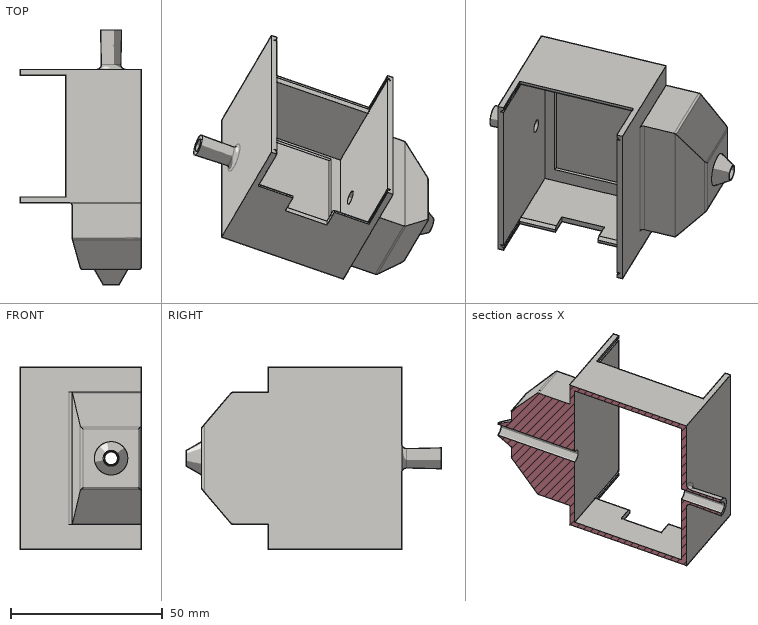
import cadquery as cq
import math

box_length = 40.0
box_width = 44.0
box_height = 60.0
wall = 2.0

seat_depth = 15.0
dovetail_flare = 1.0
straight_lip = wall - dovetail_flare

notch_width = 15.0
notch_depth = 6.0
notch_center_y = box_width / 2

recess_width = 33.4
recess_height = 50.2
recess_depth = 0.5
recess_center_y = box_width / 2
recess_center_z = 31.8

nose_start_x = 17.2
nose_height = 43.6
nose_straight = 12.0
nose_length = 22.0
nose_face_start_x = 20.0
nose_face_height = 20.0
nose_edge_radius = 1.0
nose_root_radius = 1.1
fold_margin = 0.1

axis_x = 30.0
axis_z = box_height / 2
cone_bore_diameter = 4.5
spigot_bore_diameter = 4.2
cone_length = 5.0
cone_base_diameter = 11.0
cone_tip_diameter = cone_base_diameter - 2 * cone_length * math.tan(math.radians(30))
spigot_length = 13.0
spigot_root_diameter = 6.5
spigot_tip_diameter = 7.0
spigot_root_radius = 1.5


def block(x_range, y_range, z_range):
    """Axis-aligned block between the given limits."""
    size = [high - low for low, high in (x_range, y_range, z_range)]
    corner = (x_range[0], y_range[0], z_range[0])
    return cq.Workplane("XY").box(*size, centered=False).translate(corner)


def make_box():
    """Hollow box without a wall on the -X side."""
    outer = block((0, box_length), (0, box_width), (0, box_height))
    cavity = block((0, box_length - wall), (wall, box_width - wall), (wall, box_height - wall))
    return outer.cut(cavity)


def dovetail_seat():
    """Cover seat in the top plate, flaring towards the cavity along three edges.

    The flared part is centred on X = 0, so half of it lies outside the box.
    """
    opening_width = box_width - 2 * wall
    straight = block((0, seat_depth), (wall, box_width - wall), (box_height - straight_lip, box_height))
    flare_bottom = box_height - wall
    flare_length = seat_depth + dovetail_flare
    flare = (
        cq.Workplane("XY", origin=(0, box_width / 2, flare_bottom))
        .rect(2 * flare_length, opening_width + 2 * dovetail_flare)
        .workplane(offset=dovetail_flare)
        .rect(2 * seat_depth, opening_width)
        .loft(ruled=True)
    )
    return straight.union(flare)


def finger_notch():
    """Rectangular notch in the free edge of the bottom plate."""
    return block(
        (0, seat_depth + notch_depth),
        (notch_center_y - notch_width / 2, notch_center_y + notch_width / 2),
        (0, wall),
    )


def wall_recess():
    """Recess whose 45 degree sides narrow towards its floor."""
    return (
        cq.Workplane("YZ", origin=(box_length - wall, recess_center_y, recess_center_z))
        .rect(recess_width, recess_height)
        .workplane(offset=recess_depth)
        .rect(recess_width - 2 * recess_depth, recess_height - 2 * recess_depth)
        .loft(ruled=True)
    )


def nose_rectangle(plane, start_x, height):
    """Rectangle from start_x to the +X face, centred on the axis height."""
    return plane.center((start_x + box_length) / 2, axis_z).rect(box_length - start_x, height)


def make_nose():
    """Straight block and tapered end; the fold between them and the end face are rounded."""
    straight = block(
        (nose_start_x, box_length),
        (-nose_straight, 0),
        (axis_z - nose_height / 2, axis_z + nose_height / 2),
    )
    base = nose_rectangle(
        cq.Workplane("XZ", origin=(0, -nose_straight, 0)), nose_start_x, nose_height
    )
    face_plane = base.workplane(offset=nose_length - nose_straight, origin=(0, -nose_straight, 0))
    taper = nose_rectangle(face_plane, nose_face_start_x, nose_face_height).loft(ruled=True)
    nose = straight.union(taper)
    nose = nose.faces("<Y").edges().fillet(nose_edge_radius)
    fold = cq.selectors.BoxSelector(
        (nose_start_x - fold_margin, -nose_straight - fold_margin, 0),
        (box_length - fold_margin, -nose_straight + fold_margin, box_height),
    )
    return nose.edges(fold).fillet(nose_edge_radius)


def nose_root_fillet():
    """Concave fillet between the -X side of the nose and the box."""
    radius = nose_root_radius
    return (
        cq.Workplane("XY", origin=(0, 0, axis_z - nose_height / 2))
        .moveTo(nose_start_x - radius, 0)
        .radiusArc((nose_start_x, -radius), radius)
        .lineTo(nose_start_x, 0)
        .close()
        .extrude(nose_height)
    )


def revolve_about_axis(profile):
    """Turn a (radius, Y) profile around the common axis."""
    return profile.close().revolve(360, (0, 0, 0), (0, 1, 0)).translate((axis_x, 0, axis_z))


def make_cone():
    """Conical tip on the nose face."""
    return revolve_about_axis(
        cq.Workplane("XY")
        .moveTo(0, -nose_length)
        .lineTo(cone_base_diameter / 2, -nose_length)
        .lineTo(cone_tip_diameter / 2, -nose_length - cone_length)
        .lineTo(0, -nose_length - cone_length)
    )


def make_spigot():
    """Hose spigot widening slightly to its tip, with a filleted root."""
    root_radius = spigot_root_diameter / 2
    tip_y = box_width + spigot_length
    return revolve_about_axis(
        cq.Workplane("XY")
        .moveTo(0, box_width)
        .lineTo(root_radius + spigot_root_radius, box_width)
        .radiusArc((root_radius, box_width + spigot_root_radius), spigot_root_radius)
        .lineTo(spigot_tip_diameter / 2, tip_y)
        .lineTo(0, tip_y)
    )


def axis_bore(diameter, start_y, end_y):
    """Cylinder on the common axis between two Y positions."""
    return (
        cq.Workplane("XZ", origin=(axis_x, start_y, axis_z))
        .circle(diameter / 2)
        .extrude(start_y - end_y)
    )


top_seat = dovetail_seat()
bottom_seat = top_seat.mirror("XY", (0, 0, box_height / 2))

result = make_box().cut(top_seat).cut(bottom_seat).cut(finger_notch()).cut(wall_recess())
result = result.union(make_nose()).union(nose_root_fillet())
result = result.union(make_cone()).union(make_spigot())
result = result.cut(axis_bore(cone_bore_diameter, -nose_length - cone_length, box_width / 2))
result = result.cut(axis_bore(spigot_bore_diameter, box_width / 2, box_width + spigot_length))